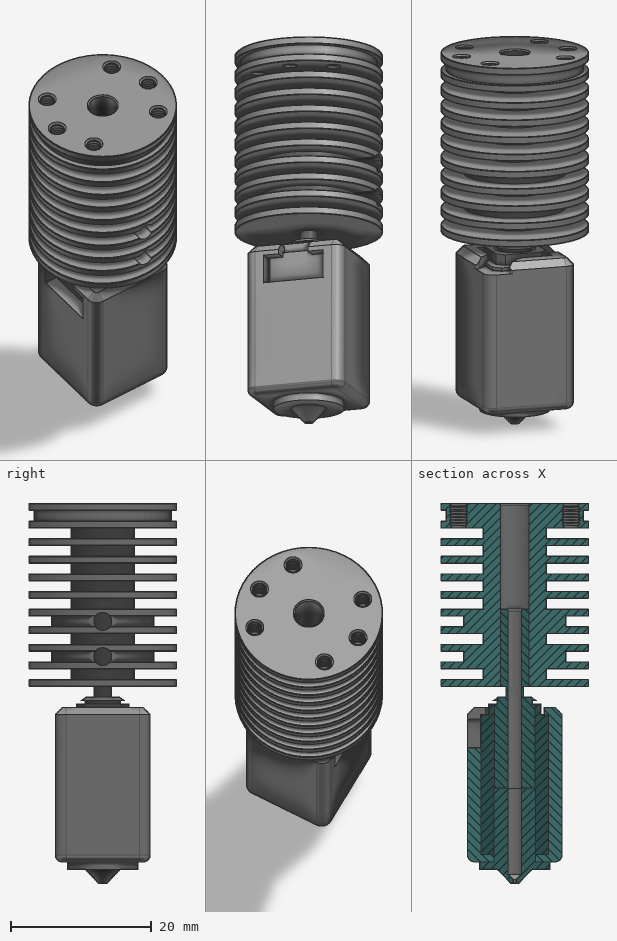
import cadquery as cq
import math


TOTAL_HEIGHT = 54.0
OVERLAP = 0.55

FIN_DIAMETER = 21.0
FIN_COUNT = 11
HEATSINK_HEIGHT = 26.05
PITCH_PER_THICKNESS = 2.5
FIN_THICKNESS = HEATSINK_HEIGHT / ((FIN_COUNT - 1) * PITCH_PER_THICKNESS + 1)
FIN_PITCH = PITCH_PER_THICKNESS * FIN_THICKNESS
FIN_EDGE_CHAMFER = 0.08
CORE_DIAMETER = 9.0
HEAD_DIAMETER = 19.5
COLLAR_DIAMETER = 14.6
COLLAR_GAPS = (1, 3)
SET_SCREW_DIAMETER = 2.55
BORE_DIAMETER = 4.0
BORE_CHAMFER = 0.2
HEATSINK_BOTTOM = TOTAL_HEIGHT - HEATSINK_HEIGHT

MOUNT_RADIUS = 8.0
MOUNT_ANGLES = (45, 90, 135, 225, 270, 315)
THREAD_MAJOR_DIAMETER = 2.55
THREAD_MINOR_DIAMETER = 2.05
THREAD_PITCH = 0.45
MOUNT_DEPTH = FIN_PITCH + FIN_THICKNESS

SOCK_LENGTH = 14.5
SOCK_WIDTH = 13.5
SOCK_BOTTOM = 3.0
SOCK_TOP = 25.0
SOCK_CORNER_RADIUS = 1.5
SOCK_EDGE = 1.0
SOCK_FLOOR = 1.0
ROOF_OPENING = 8.3
WINDOW_WIDTH = 9.0
WINDOW_BOTTOM = 19.3
WINDOW_TOP = 23.35
WINDOW_NECK_WIDTH = 4.45
WIRE_SLOT_WIDTH = 5.25
WIRE_SLOT_BOTTOM = 23.5
WIRE_SLOT_ROUNDING = 0.295

BLOCK_LENGTH = 10.4
BLOCK_WIDTH = 9.65
BLOCK_BOTTOM = SOCK_BOTTOM + SOCK_FLOOR
BLOCK_TOP = SOCK_TOP - SOCK_EDGE
BOSS_SIDE = 7.45
BOSS_TOP = 25.5
BLOCK_CHAMFER = 1.0

SHANK_DIAMETER = 5.9
JOINT_HEIGHT = 13.5
NECK_DIAMETER = 5.0
FLANGE_TOP_DIAMETER = 4.75
FLANGE_DIAMETER = 6.15
FLANGE_BOTTOM = 26.0
FLANGE_TOP = 26.45
TUBE_DIAMETER = 2.55
MELT_BORE_DIAMETER = 1.9
MELT_BORE_MOUTH_DIAMETER = 2.4
CLAMP_TOP = HEATSINK_BOTTOM + (max(COLLAR_GAPS) + 1) * FIN_PITCH + FIN_THICKNESS
NOZZLE_DISC_DIAMETER = 10.0
NOZZLE_DISC_BOTTOM = 2.0
NOZZLE_CONE_DIAMETER = 5.0
NOZZLE_TIP_DIAMETER = 1.2
ORIFICE_DIAMETER = 0.4
ORIFICE_LENGTH = 0.55


def cylinder(diameter, bottom, top):
    return cq.Workplane("XY").workplane(offset=bottom).circle(diameter / 2).extrude(top - bottom)


def box(length, width, bottom, top):
    return cq.Workplane("XY").workplane(offset=bottom).rect(length, width).extrude(top - bottom)


def turned(points):
    """Solid of revolution about Z from (radius, height) points."""
    return cq.Workplane("XZ").polyline(points).close().revolve(360, (0, 0, 0), (0, 1, 0))


def fin_bottom(index):
    return HEATSINK_BOTTOM + index * FIN_PITCH


def web_diameter(gap):
    """Diameter of the web that fills a gap between two fins."""
    if gap == FIN_COUNT - 2:
        return HEAD_DIAMETER
    if gap in COLLAR_GAPS:
        return COLLAR_DIAMETER
    return CORE_DIAMETER


def make_fin(index):
    bottom = fin_bottom(index)
    fin = cylinder(FIN_DIAMETER, bottom, bottom + FIN_THICKNESS)
    return fin.edges().chamfer(FIN_EDGE_CHAMFER)


def make_web(gap):
    return cylinder(web_diameter(gap), fin_bottom(gap) + FIN_THICKNESS, fin_bottom(gap + 1))


def bore_cutter():
    """Straight bore along the whole heatsink with a chamfered mouth at the top."""
    radius = BORE_DIAMETER / 2
    return turned([
        (0, HEATSINK_BOTTOM),
        (radius, HEATSINK_BOTTOM),
        (radius, TOTAL_HEIGHT - BORE_CHAMFER),
        (radius + BORE_CHAMFER, TOTAL_HEIGHT),
        (0, TOTAL_HEIGHT),
    ])


def thread_cutter():
    """Cutter for a threaded hole: ring-shaped thread grooves and a countersunk mouth at the top face."""
    major = THREAD_MAJOR_DIAMETER / 2
    minor = THREAD_MINOR_DIAMETER / 2
    bottom = TOTAL_HEIGHT - MOUNT_DEPTH
    points = [(0, bottom), (minor, bottom)]
    for turn in range(int(MOUNT_DEPTH / THREAD_PITCH), 1, -1):
        crest = TOTAL_HEIGHT - turn * THREAD_PITCH
        points += [(minor, crest), (major, crest + THREAD_PITCH / 2)]
    mouth_bottom = TOTAL_HEIGHT - (major - minor)
    points += [(minor, TOTAL_HEIGHT - THREAD_PITCH), (minor, mouth_bottom)]
    points += [(major, TOTAL_HEIGHT), (0, TOTAL_HEIGHT)]
    return turned(points)


def set_screw_cutter(gap):
    """Radial hole from the +X side to the bore, centred on the gap."""
    height = fin_bottom(gap) + (FIN_THICKNESS + FIN_PITCH) / 2
    plane = cq.Workplane("YZ").center(0, height)
    return plane.circle(SET_SCREW_DIAMETER / 2).extrude(FIN_DIAMETER / 2 + OVERLAP)


def make_heatsink():
    heatsink = make_fin(0)
    for gap in range(FIN_COUNT - 1):
        heatsink = heatsink.union(make_web(gap)).union(make_fin(gap + 1))
    heatsink = heatsink.cut(bore_cutter())
    for gap in COLLAR_GAPS:
        heatsink = heatsink.cut(set_screw_cutter(gap))
    for angle in MOUNT_ANGLES:
        x = MOUNT_RADIUS * math.cos(math.radians(angle))
        y = MOUNT_RADIUS * math.sin(math.radians(angle))
        heatsink = heatsink.cut(thread_cutter().translate((x, y, 0)))
    return heatsink


def make_heat_break():
    clamp = BORE_DIAMETER / 2
    tube = TUBE_DIAMETER / 2
    neck = NECK_DIAMETER / 2
    shank = SHANK_DIAMETER / 2
    bore = MELT_BORE_DIAMETER / 2
    mouth = MELT_BORE_MOUTH_DIAMETER / 2
    return turned([
        (bore, JOINT_HEIGHT),
        (shank, JOINT_HEIGHT),
        (shank, BOSS_TOP),
        (neck, BOSS_TOP),
        (neck, FLANGE_BOTTOM),
        (FLANGE_DIAMETER / 2, FLANGE_BOTTOM),
        (FLANGE_TOP_DIAMETER / 2, FLANGE_TOP),
        (tube, FLANGE_TOP),
        (tube, HEATSINK_BOTTOM),
        (clamp, HEATSINK_BOTTOM),
        (clamp, CLAMP_TOP),
        (mouth, CLAMP_TOP),
        (bore, CLAMP_TOP - (mouth - bore)),
    ])


def block_body():
    """Outside of the heater block below its boss."""
    return box(BLOCK_LENGTH, BLOCK_WIDTH, BLOCK_BOTTOM, BLOCK_TOP).edges("|Z").chamfer(BLOCK_CHAMFER)


def make_heater_block():
    boss = box(BOSS_SIDE, BOSS_SIDE, BLOCK_TOP, BOSS_TOP).edges("|Z").chamfer(BLOCK_CHAMFER)
    return block_body().union(boss).cut(cylinder(SHANK_DIAMETER, BLOCK_BOTTOM, BOSS_TOP))


def sock_blank():
    blank = box(SOCK_LENGTH, SOCK_WIDTH, SOCK_BOTTOM, SOCK_TOP)
    return blank.edges("|Z").fillet(SOCK_CORNER_RADIUS)


def slotted_sock_blank():
    """Plain sock blank with a diagonal wire slot, with rounded mouth, at its -X +Y corner."""
    slot = (
        box(SOCK_LENGTH, WIRE_SLOT_WIDTH, WIRE_SLOT_BOTTOM, SOCK_TOP + OVERLAP)
        .translate((-SOCK_LENGTH / 2, 0, 0))
        .rotate((0, 0, 0), (0, 0, 1), -45)
    )
    blank = sock_blank().cut(slot)
    left_lip = blank.faces("<X").edges("|Z").edges(">Z").edges(">Y")
    blank = left_lip.fillet(WIRE_SLOT_ROUNDING)
    back_lip = blank.faces(">Y").edges("|Z").edges(">Z").edges("<X")
    return back_lip.fillet(WIRE_SLOT_ROUNDING)


def window_cutter():
    """T-shaped opening in the -Y wall, open to the top through its neck."""
    depth = SOCK_WIDTH / 2 + OVERLAP
    pane = box(WINDOW_WIDTH, depth, WINDOW_BOTTOM, WINDOW_TOP)
    neck = box(WINDOW_NECK_WIDTH, depth, WINDOW_BOTTOM, SOCK_TOP + OVERLAP)
    return pane.union(neck).translate((0, -depth / 2, 0))


def make_sock():
    sock = sock_blank().faces(">Z").edges().chamfer(SOCK_EDGE)
    sock = sock.faces("<Z").edges().fillet(SOCK_EDGE)
    sock = sock.intersect(slotted_sock_blank())
    sock = sock.cut(block_body())
    sock = sock.cut(box(ROOF_OPENING, ROOF_OPENING, BLOCK_TOP, SOCK_TOP))
    sock = sock.cut(cylinder(SHANK_DIAMETER, SOCK_BOTTOM, BLOCK_BOTTOM))
    return sock.cut(window_cutter())


def make_nozzle():
    orifice = ORIFICE_DIAMETER / 2
    bore = MELT_BORE_DIAMETER / 2
    shank = SHANK_DIAMETER / 2
    disc = NOZZLE_DISC_DIAMETER / 2
    return turned([
        (orifice, 0),
        (NOZZLE_TIP_DIAMETER / 2, 0),
        (NOZZLE_CONE_DIAMETER / 2, NOZZLE_DISC_BOTTOM),
        (disc, NOZZLE_DISC_BOTTOM),
        (disc, SOCK_BOTTOM),
        (shank, SOCK_BOTTOM),
        (shank, JOINT_HEIGHT),
        (bore, JOINT_HEIGHT),
        (bore, ORIFICE_LENGTH + bore - orifice),
        (orifice, ORIFICE_LENGTH),
    ])


heatsink = make_heatsink()
heat_break = make_heat_break()
heater_block = make_heater_block()
sock = make_sock()
nozzle = make_nozzle()

result = cq.Compound.makeCompound([
    heatsink.solids().val(),
    heat_break.solids().val(),
    heater_block.solids().val(),
    sock.solids().val(),
    nozzle.solids().val(),
])